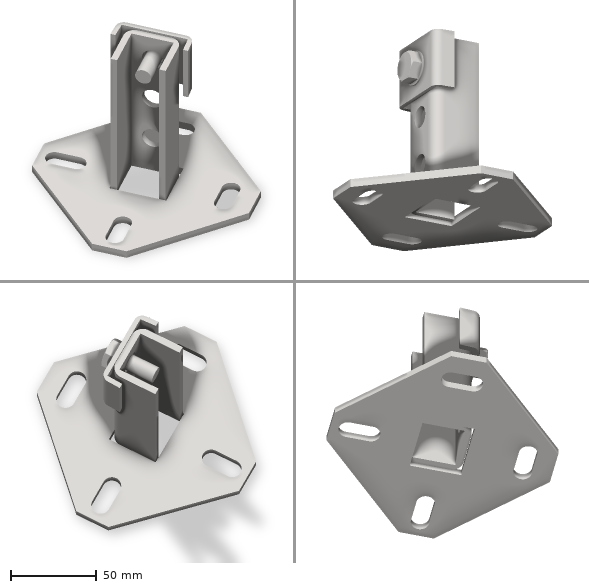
import cadquery as cq
import math

plate_span = 134.4
plate_square_side = 110.0
plate_turn_degrees = 45
plate_thickness = 5.0
opening_width = 35.2
opening_depth = 31.2
slot_length = 25.0
slot_width = 11.0
slot_offset = 50.0

channel_width = 34.1
channel_depth = 30.0
channel_wall = 4.0
channel_bend_radius = 7.0
channel_top = 103.0
channel_bottom = plate_thickness / 2
channel_height = channel_top - channel_bottom
channel_hole_diameter = 13.0
channel_hole_pitch = 30.0
channel_hole_count = 3
channel_hole_margin = 16.1
channel_back = channel_depth / 2
top_hole_z = channel_top - channel_hole_margin

clip_height = 35.2
clip_thickness = 3.0
clip_leg_thickness = 3.1
clip_depth = 13.0
clip_bend_width = 46.8
clip_bend_radius = 5.2
clip_splay_degrees = 3.0
clip_splay_slope = math.tan(math.radians(clip_splay_degrees))
clip_hole_diameter = 11.5
clip_back = channel_back + clip_thickness

washer_diameter = 21.0
washer_thickness = 1.0
washer_hole_diameter = 10.5
washer_back = clip_back + washer_thickness

bolt_diameter = 10.0
bolt_length = 25.0
head_across_flats = 16.9
head_height = 6.6
hexagon_sides = 6
head_chamfer_degrees = 30


def cylinder_along_y(diameter, y_start, y_end, z):
    """Cylinder on the plane X = 0, running in +Y from y_start to y_end at height z."""
    return (
        cq.Workplane("XZ", origin=(0, y_start, z))
        .circle(diameter / 2)
        .extrude(-(y_end - y_start))
    )


def make_plate():
    turned_square = (
        cq.Workplane("XY")
        .rect(plate_square_side, plate_square_side)
        .extrude(plate_thickness)
        .rotate((0, 0, 0), (0, 0, 1), plate_turn_degrees)
    )
    bounds = cq.Workplane("XY").rect(plate_span, plate_span).extrude(plate_thickness)
    opening = cq.Workplane("XY").rect(opening_width, opening_depth).extrude(plate_thickness)
    plate = turned_square.intersect(bounds).cut(opening)

    slots = [
        (-slot_offset, 0, 0),
        (0, slot_offset, 0),
        (slot_offset, 0, 90),
        (0, -slot_offset, 90),
    ]
    for x, y, angle in slots:
        slot = (
            cq.Workplane("XY")
            .center(x, y)
            .slot2D(slot_length, slot_width, angle)
            .extrude(plate_thickness)
        )
        plate = plate.cut(slot)
    return plate


def make_channel():
    outside = (
        cq.Workplane("XY", origin=(0, 0, channel_bottom))
        .rect(channel_width, channel_depth)
        .extrude(channel_height)
        .edges("|Z and >Y")
        .fillet(channel_bend_radius)
    )
    inside = (
        cq.Workplane("XY", origin=(0, 0, channel_bottom))
        .center(0, -channel_wall)
        .rect(channel_width - 2 * channel_wall, channel_depth)
        .extrude(channel_height)
    )
    channel = outside.cut(inside)
    for index in range(channel_hole_count):
        hole_z = top_hole_z - index * channel_hole_pitch
        hole = cylinder_along_y(
            channel_hole_diameter, channel_back - channel_wall, channel_back, hole_z
        )
        channel = channel.cut(hole)
    return channel


def clip_section(half_width, y_back, y_front):
    """Symmetric trapezoid whose sides splay outward toward -Y from half_width at y_back."""
    spread = (y_back - y_front) * clip_splay_slope
    return (
        cq.Workplane("XY", origin=(0, 0, top_hole_z - clip_height / 2))
        .polyline([
            (-half_width, y_back),
            (half_width, y_back),
            (half_width + spread, y_front),
            (-half_width - spread, y_front),
        ])
        .close()
        .extrude(clip_height)
    )


def make_clip():
    clip_front = clip_back - clip_depth
    outer_half_width = clip_bend_width / 2
    inner_half_width = outer_half_width + clip_thickness * clip_splay_slope - clip_leg_thickness
    outside = (
        clip_section(outer_half_width, clip_back, clip_front)
        .edges("|Z and >Y")
        .fillet(clip_bend_radius)
    )
    inside = clip_section(inner_half_width, channel_back, clip_front)
    hole = cylinder_along_y(clip_hole_diameter, channel_back, clip_back, top_hole_z)
    return outside.cut(inside).cut(hole)


def make_washer():
    disc = cylinder_along_y(washer_diameter, clip_back, washer_back, top_hole_z)
    hole = cylinder_along_y(washer_hole_diameter, clip_back, washer_back, top_hole_z)
    return disc.cut(hole)


def make_bolt():
    across_corners = head_across_flats / math.cos(math.pi / hexagon_sides)
    head = (
        cq.Workplane("XZ", origin=(0, washer_back, top_hole_z))
        .polygon(hexagon_sides, across_corners)
        .extrude(-head_height)
    )
    corner_overhang = (across_corners - head_across_flats) / 2
    corner_drop = corner_overhang * math.tan(math.radians(head_chamfer_degrees))
    crown = (
        cylinder_along_y(across_corners, washer_back, washer_back + head_height, top_hole_z)
        .faces(">Y")
        .chamfer(corner_drop, corner_overhang)
    )
    shank = cylinder_along_y(bolt_diameter, washer_back - bolt_length, washer_back, top_hole_z)
    return head.intersect(crown).union(shank)


plate = make_plate()
channel = make_channel()
clip = make_clip()
washer = make_washer()
bolt = make_bolt()

result = cq.Compound.makeCompound([
    plate.val(),
    channel.val(),
    clip.val(),
    washer.val(),
    bolt.val(),
])